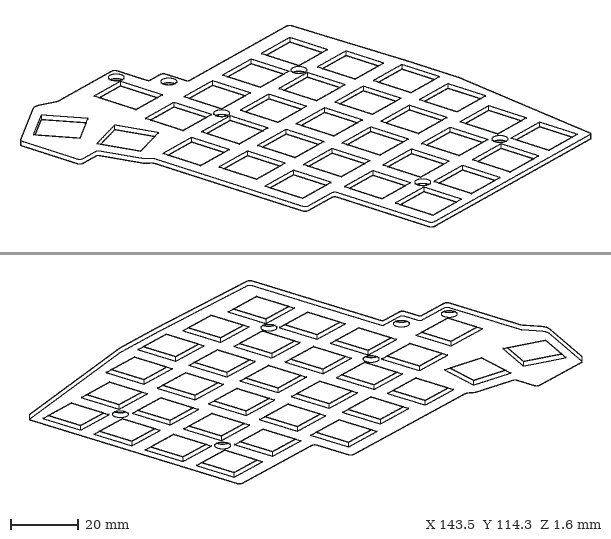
import cadquery as cq
import math

thickness = 1.6
plate_width = 143.5
plate_depth = 114.3

switch_size = 14.0
first_column_x = 38.2
column_span = 95.2
column_rows = [4, 5, 5, 5, 4, 4]
column_drops = [5.0, 2.5, 0, 2.5, 7.5, 7.5]
top_row_y = 104.2
key_pitch = column_span / (len(column_rows) - 1)

tip_lean = 27.5
thumb_tilt = 15.0

thumb_keys = [(35.3, 20.8, thumb_tilt), (14.5, 15.2, tip_lean)]
wide_key_center = (17.4, 44.8)
wide_key_width = 15.6
wide_key_depth = 12.9

screw_diameter = 4.7
left_screw_x = 47.1
right_screw_x = 124.0
screw_rows = (0.5, 2.5)
thumb_screws = [(21.1, 59.9), (6.9, 52.7)]

upper_left_x = 25.5
upper_left_y = 113.1
step_x = 16.1
step_y = 63.5
thumb_left_x = 3.2
thumb_top_y = 56.5
thumb_shoulder_y = 28.7
thumb_tip_y = 21.8
thumb_bottom_left_x = 10.9
thumb_bottom_right_x = 33.5
thumb_ramp_y = 8.3
thumb_ramp_end_x = 48.1
lower_edge_y = 14.0
lower_right_x = 107.0
right_bottom_y = 28.0
right_top_y = 106.7
top_flat_start_x = 68.9
top_flat_end_x = 88.1

sharp = 0
small_radius = 0.6
corner_radius = 1.1
bend_radius = 2.2
tip_radius = 3.5

tip_overhang = tip_radius * (1 / math.cos(math.radians(tip_lean)) - 1)

ramp_rise = (thumb_ramp_end_x - thumb_bottom_right_x) * math.tan(math.radians(thumb_tilt))
ramp_end_y = thumb_ramp_y + ramp_rise
link_end_x = thumb_ramp_end_x + lower_edge_y - ramp_end_y

outline_corners = [
    (thumb_bottom_left_x, 0, corner_radius),
    (thumb_bottom_right_x, 0, corner_radius),
    (thumb_bottom_right_x, thumb_ramp_y, small_radius),
    (thumb_ramp_end_x, ramp_end_y, bend_radius),
    (link_end_x, lower_edge_y, bend_radius),
    (lower_right_x, lower_edge_y, corner_radius),
    (lower_right_x, right_bottom_y, corner_radius),
    (plate_width, right_bottom_y, corner_radius),
    (plate_width, right_top_y, small_radius),
    (top_flat_end_x, plate_depth, sharp),
    (top_flat_start_x, plate_depth, sharp),
    (upper_left_x, upper_left_y, corner_radius),
    (upper_left_x, step_y, small_radius),
    (step_x, step_y, corner_radius),
    (step_x, thumb_top_y, small_radius),
    (thumb_left_x, thumb_top_y, corner_radius),
    (thumb_left_x, thumb_shoulder_y, small_radius),
    (-tip_overhang, thumb_tip_y, tip_radius),
]


def rounded_corner(before, corner, after, radius):
    """Return start, middle and end points of the arc that rounds a corner."""
    vertex = cq.Vector(*corner)
    to_before = (cq.Vector(*before) - vertex).normalized()
    to_after = (cq.Vector(*after) - vertex).normalized()
    half_angle = to_before.getAngle(to_after) / 2
    setback = radius / math.tan(half_angle)
    bisector = (to_before + to_after).normalized()
    middle = vertex + bisector * (radius / math.sin(half_angle) - radius)
    return vertex + to_before * setback, middle, vertex + to_after * setback


def plate_blank():
    """Extrude the outline with its rounded corners."""
    count = len(outline_corners)
    path = None
    for i, (x, y, radius) in enumerate(outline_corners):
        before = outline_corners[i - 1][:2]
        after = outline_corners[(i + 1) % count][:2]
        if radius == sharp:
            path = path.lineTo(x, y)
            continue
        start, middle, end = rounded_corner(before, (x, y), after, radius)
        if path is None:
            path = cq.Workplane("XY").moveTo(start.x, start.y)
        else:
            path = path.lineTo(start.x, start.y)
        path = path.threePointArc((middle.x, middle.y), (end.x, end.y))
    return path.close().extrude(thickness)


def column_x(column):
    return first_column_x + column * key_pitch


def key_y(column, row):
    return top_row_y - column_drops[column] - row * key_pitch


def opening(center, width, depth, turn=0):
    """Return a through-cutter for a rectangular switch opening."""
    cutter = cq.Workplane("XY").rect(width, depth).extrude(thickness)
    return cutter.rotate((0, 0, 0), (0, 0, 1), turn).translate((*center, 0))


grid_screws = []
for row in screw_rows:
    grid_screws.append((left_screw_x, key_y(0, row)))
    grid_screws.append((right_screw_x, key_y(-1, row)))

key_centers = [
    (column_x(column), key_y(column, row))
    for column, rows in enumerate(column_rows)
    for row in range(rows)
]

result = plate_blank()
for x, y in key_centers:
    result = result.cut(opening((x, y), switch_size, switch_size))
for x, y, turn in thumb_keys:
    result = result.cut(opening((x, y), switch_size, switch_size, turn))
result = result.cut(opening(wide_key_center, wide_key_width, wide_key_depth))
screw_cutters = cq.Workplane("XY").pushPoints(grid_screws + thumb_screws).circle(screw_diameter / 2)
result = result.cut(screw_cutters.extrude(thickness))